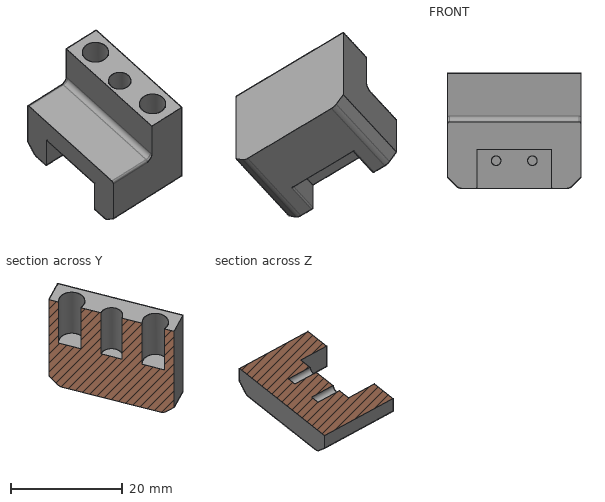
import cadquery as cq

width = 24.0
depth = 16.0
height = 20.7

wall_thickness = 7.0
shelf_height = 11.98
shelf_side_radius = 0.4
wall_root_radius = 1.0
wall_front = depth - wall_thickness
shelf_edge_height = shelf_height - shelf_side_radius

base_chamfer = 2.02
base_blend_radius = 1.5

slot_width = 13.35
slot_height = 7.0
slot_depth = 6.0
slot_lip_radius = 0.3

outer_hole_diameter = 4.7
outer_hole_spacing = 16.0
middle_hole_diameter = 4.0
middle_hole_back_offset = 4.5
top_hole_depth = 10.0

slot_hole_diameter = 1.7
slot_hole_spacing = 6.5
slot_hole_height = 5.0
slot_hole_depth = 5.0


def box(x_size, y_start, y_end, z_start, z_end):
    """Box centred on X = 0 between the given Y and Z limits."""
    size_y = y_end - y_start
    size_z = z_end - z_start
    block = cq.Workplane("XY").box(x_size, size_y, size_z, centered=(True, False, False))
    return block.translate((0, y_start, z_start))


def make_base():
    """Block below the shelf edges, with chamfered and blended bottom corners."""
    base = box(width, 0, depth, 0, shelf_edge_height)
    base = base.faces("<Z").edges("|Y").chamfer(base_chamfer)
    return base.faces("<Z").edges("|Y").fillet(base_blend_radius)


def make_shelf():
    """Shelf with a concave root at the wall; revolving its section rounds both sides and the root ends."""
    root_start = wall_front - wall_root_radius
    root_top = shelf_side_radius + wall_root_radius
    section = (
        cq.Workplane("YZ", origin=(0, 0, shelf_edge_height))
        .lineTo(0, shelf_side_radius)
        .lineTo(root_start, shelf_side_radius)
        .radiusArc((wall_front, root_top), -wall_root_radius)
        .lineTo(wall_front, 0)
        .close()
    )
    flat_half_width = width / 2 - shelf_side_radius
    shelf = section.extrude(flat_half_width, both=True)
    rounded_end = section.toPending().revolve(360, (0, 0, 0), (1, 0, 0))
    for side in (-1, 1):
        shelf = shelf.union(rounded_end.translate((side * flat_half_width, 0, 0)))
    return shelf.intersect(box(width, 0, wall_front, shelf_edge_height, height))


def make_wall():
    """Upright wall across the full width."""
    return box(width, wall_front, depth, shelf_edge_height, height)


def cut_slot(body):
    """Slot in the lower front, with its lower side edges rounded."""
    body = body.cut(box(slot_width, 0, slot_depth, 0, slot_height))
    lips = cq.selectors.BoxSelector(
        (-slot_width / 2 - slot_lip_radius, -slot_lip_radius, -slot_lip_radius),
        (slot_width / 2 + slot_lip_radius, slot_depth - slot_lip_radius, slot_lip_radius),
    )
    return body.edges("|Y").edges(lips).fillet(slot_lip_radius)


def drill(body, start, direction, diameter, hole_depth):
    """Flat-bottomed blind hole."""
    tool = cq.Solid.makeCylinder(diameter / 2, hole_depth, cq.Vector(*start), cq.Vector(*direction))
    return body.cut(cq.Workplane(obj=tool))


result = make_base().union(make_shelf()).union(make_wall()).clean()
result = cut_slot(result)

middle_hole_start = (0, depth - middle_hole_back_offset, height)
result = drill(result, middle_hole_start, (0, 0, -1), middle_hole_diameter, top_hole_depth)

for side in (-1, 1):
    outer_hole_start = (side * outer_hole_spacing / 2, depth - wall_thickness / 2, height)
    result = drill(result, outer_hole_start, (0, 0, -1), outer_hole_diameter, top_hole_depth)

    slot_hole_start = (side * slot_hole_spacing / 2, slot_depth, slot_hole_height)
    result = drill(result, slot_hole_start, (0, 1, 0), slot_hole_diameter, slot_hole_depth)